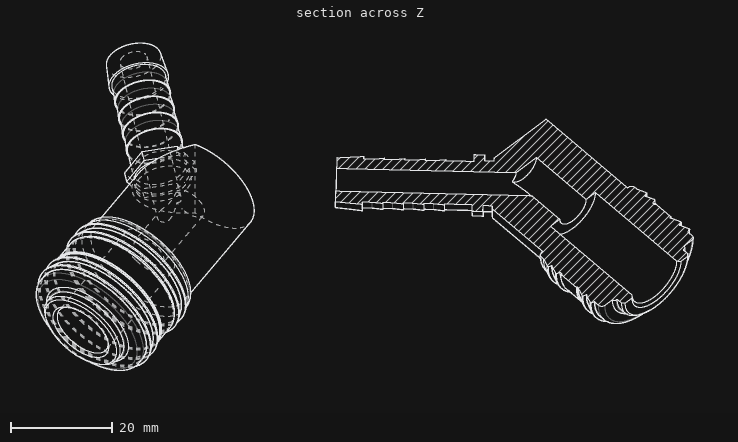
import cadquery as cq
import math

body_length = 44.0
body_radius = 11.55
nose_radius = 9.0
nose_edge_chamfer = 0.5
shoulder_start = 1.8
shoulder_radius = 9.75
shoulder_rounding = 0.55

sleeve_start = shoulder_start + shoulder_rounding
sleeve_end = 20.55
sleeve_radius = 12.7
sleeve_edge_radius = 0.9
drum_start = 9.45
drum_end = 13.9
drum_radius = 12.85
grip_radius = 13.4
grip_groove_radius = 12.6
grip_pitch = 2.35
grip_land = 0.3
grip_undercut = 0.25
grips_per_set = 2
grip_set_ends = [19.05, 9.1]

socket_radius = 6.05
socket_mouth_chamfer = 0.6
socket_depth = 24.0
passage_radius = 3.55
passage_end = 38.3

tail_origin = (0, 32.44, 0)
tail_angle = math.radians(45)
tail_direction = (-math.sin(tail_angle), math.cos(tail_angle), 0)
seat_distance = 10.0
tail_end = 41.0
tail_bore_radius = 2.75
stem_radius = 5.43
tip_radius = 5.5
tip_barb_radius = 6.0
tip_barb_length = 5.35
rib_radius = 5.65
rib_length = 2.15
rib_pitch = 4.05
rib_count = 4
first_rib_setback = 7.25
collar_radius = 5.6
hex_start = 11.8
hex_thickness = 2.2
hex_across_flats = 12.2


def ring_about_body(profile):
    """Revolve a (radius, Y) outline about the body axis."""
    return cq.Workplane("XY").polyline(profile).close().revolve(360, (0, 0), (0, 1))


def body_cylinder(radius, start, end):
    plane = cq.Plane(origin=(0, start, 0), xDir=(1, 0, 0), normal=(0, 1, 0))
    return cq.Workplane(plane).circle(radius).extrude(end - start)


def tail_workplane(distance):
    """Workplane square to the tail axis; its local X lies in the XY plane."""
    origin = tuple(o + distance * d for o, d in zip(tail_origin, tail_direction))
    across = (tail_direction[1], -tail_direction[0], 0)
    return cq.Workplane(cq.Plane(origin=origin, xDir=across, normal=tail_direction))


def tail_cylinder(radius, start, end):
    return tail_workplane(start).circle(radius).extrude(end - start)


def tail_cone(start_radius, end_radius, start, end):
    """Cone frustum along the tail axis, from start to end."""
    cone = cq.Solid.makeCone(
        start_radius,
        end_radius,
        end - start,
        pnt=tail_workplane(start).plane.origin,
        dir=cq.Vector(*tail_direction),
    )
    return cq.Workplane(cone)


def make_barrel():
    barrel = body_cylinder(body_radius, sleeve_start, body_length)
    cut_size = 4 * body_length
    beyond_seat = tail_workplane(seat_distance).rect(cut_size, cut_size).extrude(cut_size)
    return barrel.cut(beyond_seat)


def make_nose():
    tip = body_cylinder(nose_radius, 0, shoulder_start)
    tip = tip.faces("<Y").edges().chamfer(nose_edge_chamfer)
    shoulder = body_cylinder(shoulder_radius, shoulder_start, drum_start)
    shoulder = shoulder.faces("<Y").edges().fillet(shoulder_rounding)
    return tip.union(shoulder)


def make_grip(end):
    """One saw-tooth ring: cone out to the crest, short land, steep back face."""
    start = end - grip_pitch
    return ring_about_body([
        (0, end),
        (sleeve_radius, end),
        (grip_radius, start + grip_undercut + grip_land),
        (grip_radius, start + grip_undercut),
        (grip_groove_radius, start),
        (0, start),
    ])


def make_sleeve():
    upper_end, lower_end = grip_set_ends
    set_length = grips_per_set * grip_pitch
    core = body_cylinder(grip_groove_radius, lower_end - set_length, upper_end)
    front = body_cylinder(sleeve_radius, sleeve_start, lower_end - set_length)
    front = front.faces("<Y").edges().fillet(sleeve_edge_radius)
    back = body_cylinder(sleeve_radius, upper_end, sleeve_end)
    back = back.faces(">Y").edges().fillet(sleeve_edge_radius)
    sleeve = core.union(front).union(back)
    sleeve = sleeve.union(body_cylinder(drum_radius, drum_start, drum_end))
    for set_end in grip_set_ends:
        for index in range(grips_per_set):
            sleeve = sleeve.union(make_grip(set_end - index * grip_pitch))
    return sleeve


def make_hose_tail():
    hex_end = hex_start + hex_thickness
    barb_start = tail_end - tip_barb_length
    hex_across_corners = hex_across_flats / math.cos(math.pi / 6)
    tail = tail_cylinder(collar_radius, 0, hex_start)
    tail = tail.union(
        tail_workplane(hex_start).polygon(6, hex_across_corners).extrude(hex_thickness)
    )
    tail = tail.union(tail_cylinder(stem_radius, hex_end, barb_start))
    for index in range(rib_count):
        rib_end = tail_end - first_rib_setback - index * rib_pitch
        tail = tail.union(tail_cone(rib_radius, stem_radius, rib_end - rib_length, rib_end))
    return tail.union(tail_cone(tip_barb_radius, tip_radius, barb_start, tail_end))


def make_socket():
    """Stepped bore with a chamfered mouth."""
    return ring_about_body([
        (0, 0),
        (socket_radius + socket_mouth_chamfer, 0),
        (socket_radius, socket_mouth_chamfer),
        (socket_radius, socket_depth),
        (passage_radius, socket_depth),
        (passage_radius, passage_end),
        (0, passage_end),
    ])


result = make_barrel().union(make_nose()).union(make_sleeve()).union(make_hose_tail())
result = result.cut(make_socket()).cut(tail_cylinder(tail_bore_radius, 0, tail_end))